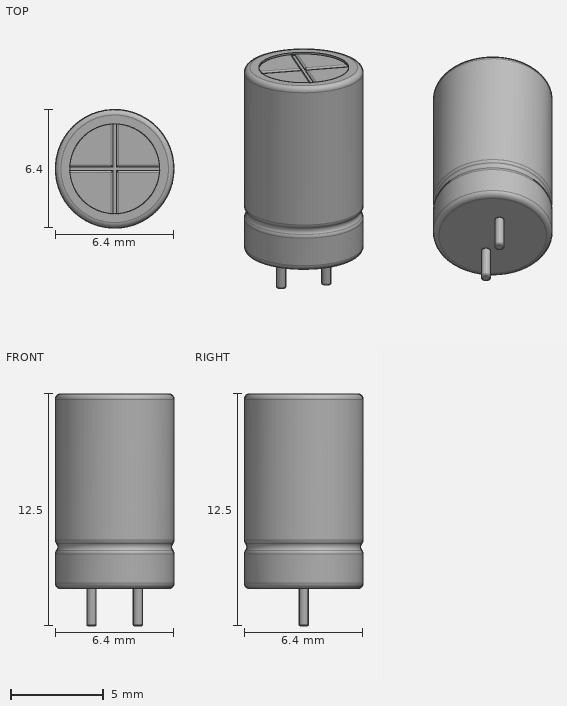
import cadquery as cq
import math

can_diameter = 6.4
can_height = 10.5
can_radius = can_diameter / 2
rim_fillet = 0.3

crimp_centre_z = 2.25
crimp_half_height = 0.377
crimp_depth = 0.133

recess_diameter = 4.84
recess_depth = 0.1
score_overrun = 0.1
score_length = recess_diameter + 2 * score_overrun
score_floor_width = 0.2
score_depth = 0.1

lead_diameter = 0.5
lead_pitch = 2.5
lead_length = 2.0
lead_tip_fillet = 0.075


def make_can():
    """Revolve the half section of the can, crimp groove included."""
    turn = 2 * math.atan(crimp_depth / crimp_half_height)
    arc_radius = crimp_half_height / (2 * math.sin(turn))
    blend_depth = crimp_depth / 2
    blend_height = crimp_half_height / 2
    mid_blend_depth = arc_radius * (1 - math.cos(turn / 2))
    mid_blend_height = arc_radius * math.sin(turn / 2)

    crimp_bottom = crimp_centre_z - crimp_half_height
    crimp_top = crimp_centre_z + crimp_half_height
    blend_radius = can_radius - blend_depth
    mid_blend_radius = can_radius - mid_blend_depth

    section = (
        cq.Workplane("XZ")
        .lineTo(can_radius, 0)
        .lineTo(can_radius, crimp_bottom)
        .threePointArc(
            (mid_blend_radius, crimp_bottom + mid_blend_height),
            (blend_radius, crimp_bottom + blend_height),
        )
        .threePointArc(
            (can_radius - crimp_depth, crimp_centre_z),
            (blend_radius, crimp_top - blend_height),
        )
        .threePointArc(
            (mid_blend_radius, crimp_top - mid_blend_height),
            (can_radius, crimp_top),
        )
        .lineTo(can_radius, can_height)
        .lineTo(0, can_height)
        .close()
    )
    can = section.revolve(360, (0, 0, 0), (0, 1, 0))
    return can.faces("<Z or >Z").edges().fillet(rim_fillet)


def make_score(angle):
    """Bar across the recess and just under its rim, with quarter-round shoulders as deep as the score."""
    recess_floor = can_height - recess_depth
    score_floor = recess_floor - score_depth
    half_floor = score_floor_width / 2
    half_top = half_floor + score_depth
    mid_arc_offset = score_depth * math.sin(math.pi / 4)
    arc_mid_x = half_top - mid_arc_offset
    arc_mid_z = score_floor + mid_arc_offset
    bar = (
        cq.Workplane("XZ")
        .moveTo(-half_top, recess_floor)
        .lineTo(half_top, recess_floor)
        .threePointArc((arc_mid_x, arc_mid_z), (half_floor, score_floor))
        .lineTo(-half_floor, score_floor)
        .threePointArc((-arc_mid_x, arc_mid_z), (-half_top, recess_floor))
        .close()
        .extrude(score_length / 2, both=True)
    )
    return bar.rotate((0, 0, 0), (0, 0, 1), angle)


def cut_vent(can):
    """Sink the round recess into the top and score the cross in its floor."""
    recess = (
        cq.Workplane("XY")
        .workplane(offset=can_height - recess_depth)
        .circle(recess_diameter / 2)
        .extrude(recess_depth)
    )
    can = can.cut(recess)
    for angle in (0, 90):
        can = can.cut(make_score(angle))
    return can


def make_lead(x):
    """Round lead that hangs below the can and has a rounded tip."""
    lead = cq.Workplane("XY").center(x, 0).circle(lead_diameter / 2).extrude(-lead_length)
    return lead.faces("<Z").edges().fillet(lead_tip_fillet)


result = cut_vent(make_can())
for side in (-1, 1):
    result = result.union(make_lead(side * lead_pitch / 2))